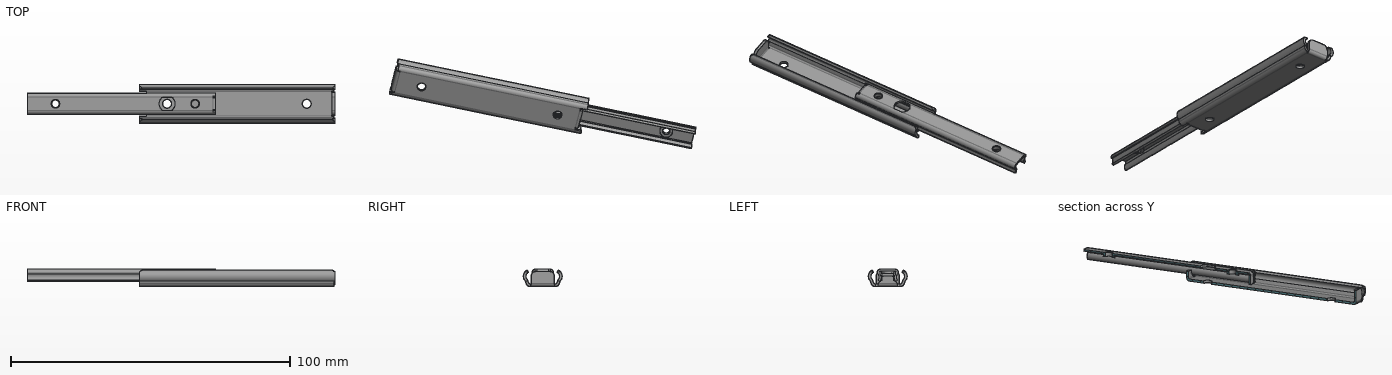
import cadquery as cq
import math


TOTAL_LENGTH = 110.1
TOTAL_HEIGHT = 6.4

OUTER_LENGTH = 70.0
OUTER_START = TOTAL_LENGTH - OUTER_LENGTH
OUTER_THICKNESS = 1.0
FLOOR_HALF_WIDTH = 4.4
FLANGE_BEND_RADIUS = 0.7
FLANGE_BEND_ANGLE = 73.0
RACE_CENTER_Y = 4.57
RACE_CENTER_Z = 3.7
RACE_OUTER_RADIUS = 2.4
RACE_START_ANGLE = -46.0
RACE_END_ANGLE = 55.0
LIP_LENGTH = 0.4
LIP_CHAMFER_LENGTH = 1.0
LIP_CHAMFER_HEIGHT = 0.7
FLOOR_HOLE_RADIUS = 1.5

TAB_BEND_RADIUS = 0.2
TAB_DEPTH = OUTER_THICKNESS + TAB_BEND_RADIUS
REAR_TAB_HALF_WIDTH = 4.2
REAR_TAB_TOP = 5.5
REAR_TAB_CORNER = 1.8
RELIEF_LENGTH = 0.4
RELIEF_HEIGHT = 2.1
FRONT_NOTCH_LENGTH = 2.5
FRONT_TAB_HALF_WIDTH = 2.1
FRONT_TAB_BASE_HALF_WIDTH = 3.5
FRONT_TAB_BASE_HEIGHT = 1.1
FRONT_TAB_TOP = 3.7
FRONT_TAB_CORNER = 0.4

INNER_LENGTH = 67.4
INNER_THICKNESS = 0.8
INNER_HALF_WIDTH = 3.9
SHOULDER_THICKNESS = 1.0
INNER_CORNER_RADIUS = 1.4
INNER_FLAT_HALF_WIDTH = INNER_HALF_WIDTH - INNER_CORNER_RADIUS
INNER_CAVITY_HALF_WIDTH = INNER_HALF_WIDTH - SHOULDER_THICKNESS
INNER_TOP_UNDERSIDE = TOTAL_HEIGHT - INNER_THICKNESS
SHOULDER_Z = 4.5
GROOVE_EDGE_Y = 3.4
GROOVE_Y = 3.14
GROOVE_Z = 3.6
FOOT_OUTER = (3.5, 2.3)
FOOT_INNER = (2.9, 1.9)
STOP_HALF_WIDTH = 2.1
STOP_BOTTOM = 2.0
STOP_RELIEF_HALF_WIDTH = 2.9
STOP_BEND_RADIUS = 0.1
TAP_RADIUS = 1.3
TAP_CHAMFER = 0.2
COLLAR_RADIUS = 2.3
COLLAR_BOTTOM = 4.7
ACCESS_RADIUS = 2.9

HOLE_PITCH = 50.0
FRONT_TAP_X = 10.0
REAR_TAP_X = FRONT_TAP_X + HOLE_PITCH
FRONT_FLOOR_HOLE_X = 50.0
REAR_FLOOR_HOLE_X = FRONT_FLOOR_HOLE_X + HOLE_PITCH


def box(x_min, x_max, y_min, y_max, z_min, z_max):
    size = (x_max - x_min, y_max - y_min, z_max - z_min)
    return cq.Workplane("XY").box(*size, centered=False).translate((x_min, y_min, z_min))


def vertical_cylinder(x, radius, bottom, top):
    return cq.Workplane("XY", origin=(x, 0, bottom)).circle(radius).extrude(top - bottom)


def polar(center_y, center_z, radius, degrees):
    angle = math.radians(degrees)
    return (center_y + radius * math.cos(angle), center_z + radius * math.sin(angle))


def with_mirror(half):
    return half.union(half.mirror("XZ"))


def outer_section():
    """Half of the outer rail's cross-section, from the mirror plane to the lip."""
    bend_outer = FLANGE_BEND_RADIUS + OUTER_THICKNESS
    race_inner = RACE_OUTER_RADIUS - OUTER_THICKNESS
    race_middle = (RACE_START_ANGLE + RACE_END_ANGLE) / 2

    def bend(radius, turn):
        return polar(FLOOR_HALF_WIDTH, bend_outer, radius, turn - 90)

    def race(radius, degrees):
        return polar(RACE_CENTER_Y, RACE_CENTER_Z, radius, degrees)

    def lip(radius):
        y, z = race(radius, RACE_END_ANGLE)
        return polar(y, z, LIP_LENGTH, RACE_END_ANGLE + 90)

    return (
        cq.Workplane("YZ", origin=(OUTER_START, 0, 0))
        .moveTo(0, 0)
        .lineTo(FLOOR_HALF_WIDTH, 0)
        .threePointArc(bend(bend_outer, FLANGE_BEND_ANGLE / 2), bend(bend_outer, FLANGE_BEND_ANGLE))
        .lineTo(*race(RACE_OUTER_RADIUS, RACE_START_ANGLE))
        .threePointArc(race(RACE_OUTER_RADIUS, race_middle), race(RACE_OUTER_RADIUS, RACE_END_ANGLE))
        .lineTo(*lip(RACE_OUTER_RADIUS))
        .lineTo(*lip(race_inner))
        .lineTo(*race(race_inner, RACE_END_ANGLE))
        .threePointArc(race(race_inner, race_middle), race(race_inner, RACE_START_ANGLE))
        .lineTo(*bend(FLANGE_BEND_RADIUS, FLANGE_BEND_ANGLE))
        .threePointArc(bend(FLANGE_BEND_RADIUS, FLANGE_BEND_ANGLE / 2), (FLOOR_HALF_WIDTH, OUTER_THICKNESS))
        .lineTo(0, OUTER_THICKNESS)
        .close()
    )


def lip_chamfer(end_x, inward, lip_top):
    """Wedge that takes the top corner off both flange lips at one end."""
    return (
        cq.Workplane("XZ", origin=(0, TOTAL_LENGTH / 2, 0))
        .moveTo(end_x, lip_top - LIP_CHAMFER_HEIGHT)
        .lineTo(end_x + inward * LIP_CHAMFER_LENGTH, lip_top)
        .lineTo(end_x, lip_top)
        .close()
        .extrude(TOTAL_LENGTH)
    )


def bent_tab(root_x, outward, face_z, turn, thickness, inside_radius, half_width, height):
    """Tab that continues a plate in X from root_x and bends by 90 degrees.

    outward (+1 or -1) is its X direction and turn (+1 or -1) the Z direction of the bend;
    face_z is the plate's face on the outside of the bend.
    """
    depth = thickness + inside_radius
    diagonal = math.sqrt(0.5)

    def place(along, rise):
        return (root_x + outward * along, face_z + turn * rise)

    return (
        cq.Workplane("XZ", origin=(0, half_width, 0))
        .moveTo(*place(0, 0))
        .threePointArc(place(depth * diagonal, depth * (1 - diagonal)), place(depth, depth))
        .lineTo(*place(depth, height))
        .lineTo(*place(inside_radius, height))
        .lineTo(*place(inside_radius, depth))
        .threePointArc(
            place(inside_radius * diagonal, depth - inside_radius * diagonal),
            place(0, thickness),
        )
        .close()
        .extrude(2 * half_width)
    )


def rear_tab(root_x):
    """Full-width end wall with rounded top corners."""
    tab = bent_tab(
        root_x, 1, 0, 1,
        OUTER_THICKNESS, TAB_BEND_RADIUS, REAR_TAB_HALF_WIDTH, REAR_TAB_TOP,
    )
    return tab.edges("|X and >Z").fillet(REAR_TAB_CORNER)


def front_tab(root_x):
    """Stop with a wide base, narrowed by 45-degree slopes to fit inside the inner rail."""
    base_half = FRONT_TAB_BASE_HALF_WIDTH
    top_half = FRONT_TAB_HALF_WIDTH
    neck_z = FRONT_TAB_BASE_HEIGHT + base_half - top_half
    outline = (
        cq.Workplane("YZ", origin=(root_x - TAB_DEPTH, 0, 0))
        .polyline([
            (-base_half, 0),
            (base_half, 0),
            (base_half, FRONT_TAB_BASE_HEIGHT),
            (top_half, neck_z),
            (top_half, FRONT_TAB_TOP),
            (-top_half, FRONT_TAB_TOP),
            (-top_half, neck_z),
            (-base_half, FRONT_TAB_BASE_HEIGHT),
        ])
        .close()
        .extrude(TAB_DEPTH)
        .edges("|X and >Z")
        .fillet(FRONT_TAB_CORNER)
    )
    tab = bent_tab(root_x, -1, 0, 1, OUTER_THICKNESS, TAB_BEND_RADIUS, base_half, FRONT_TAB_TOP)
    return tab.intersect(outline)


def make_outer_rail():
    rail = with_mirror(outer_section().extrude(OUTER_LENGTH))
    lip_top = rail.val().BoundingBox().zmax
    rail = rail.cut(lip_chamfer(OUTER_START, 1, lip_top)).cut(lip_chamfer(TOTAL_LENGTH, -1, lip_top))

    front_root = OUTER_START + FRONT_NOTCH_LENGTH
    rear_root = TOTAL_LENGTH - TAB_DEPTH
    half = FLOOR_HALF_WIDTH
    rail = rail.cut(box(OUTER_START, front_root, -half, half, 0, OUTER_THICKNESS))
    rail = rail.cut(box(rear_root, TOTAL_LENGTH, -half, half, 0, OUTER_THICKNESS))
    relief_start = TOTAL_LENGTH - RELIEF_LENGTH
    relief = box(relief_start, TOTAL_LENGTH, half, 2 * half, 0, RELIEF_HEIGHT)
    rail = rail.cut(relief).cut(relief.mirror("XZ"))

    rail = rail.union(front_tab(front_root)).union(rear_tab(rear_root))

    for x in (FRONT_FLOOR_HOLE_X, REAR_FLOOR_HOLE_X):
        rail = rail.cut(vertical_cylinder(x, FLOOR_HOLE_RADIUS, 0, OUTER_THICKNESS))
    return rail


def inner_section():
    """Half of the inner rail's cross-section: flat top, rounded shoulder, ball groove, flared foot."""
    corner_z = TOTAL_HEIGHT - INNER_CORNER_RADIUS
    corner_middle = polar(INNER_FLAT_HALF_WIDTH, corner_z, INNER_CORNER_RADIUS, 45)
    return (
        cq.Workplane("YZ")
        .moveTo(0, TOTAL_HEIGHT)
        .lineTo(INNER_FLAT_HALF_WIDTH, TOTAL_HEIGHT)
        .threePointArc(corner_middle, (INNER_HALF_WIDTH, corner_z))
        .lineTo(INNER_HALF_WIDTH, SHOULDER_Z)
        .lineTo(GROOVE_EDGE_Y, SHOULDER_Z)
        .threePointArc((GROOVE_Y, GROOVE_Z), FOOT_OUTER)
        .lineTo(*FOOT_INNER)
        .threePointArc((GROOVE_Y - INNER_THICKNESS, GROOVE_Z), (INNER_CAVITY_HALF_WIDTH, SHOULDER_Z))
        .lineTo(INNER_CAVITY_HALF_WIDTH, INNER_TOP_UNDERSIDE)
        .lineTo(0, INNER_TOP_UNDERSIDE)
        .close()
    )


def tapped_hole(x):
    """Hole through the top and collar of the inner rail, with a chamfered mouth."""
    hole = vertical_cylinder(x, TAP_RADIUS, COLLAR_BOTTOM, TOTAL_HEIGHT)
    mouth = cq.Solid.makeCone(
        TAP_RADIUS,
        TAP_RADIUS + TAP_CHAMFER,
        TAP_CHAMFER,
        pnt=cq.Vector(x, 0, TOTAL_HEIGHT - TAP_CHAMFER),
    )
    return hole.union(cq.Workplane(mouth))


def access_opening():
    """Round opening with two flats, above the front floor hole."""
    r = ACCESS_RADIUS
    x = FRONT_FLOOR_HOLE_X
    disc = vertical_cylinder(x, r, INNER_TOP_UNDERSIDE, TOTAL_HEIGHT)
    flats = box(x - r, x + r, -INNER_FLAT_HALF_WIDTH, INNER_FLAT_HALF_WIDTH, 0, TOTAL_HEIGHT)
    return disc.intersect(flats)


def make_inner_rail():
    rail = with_mirror(inner_section().extrude(INNER_LENGTH))

    stop_root = INNER_LENGTH - INNER_THICKNESS - STOP_BEND_RADIUS
    rail = rail.cut(
        box(
            stop_root, INNER_LENGTH,
            -STOP_RELIEF_HALF_WIDTH, STOP_RELIEF_HALF_WIDTH,
            INNER_TOP_UNDERSIDE, TOTAL_HEIGHT,
        )
    )
    stop_height = TOTAL_HEIGHT - STOP_BOTTOM
    rail = rail.union(
        bent_tab(
            stop_root, 1, TOTAL_HEIGHT, -1,
            INNER_THICKNESS, STOP_BEND_RADIUS, STOP_HALF_WIDTH, stop_height,
        )
    )

    for x in (FRONT_TAP_X, REAR_TAP_X):
        collar = vertical_cylinder(x, COLLAR_RADIUS, COLLAR_BOTTOM, INNER_TOP_UNDERSIDE)
        rail = rail.union(collar).cut(tapped_hole(x))
    return rail.cut(access_opening())


outer_rail = make_outer_rail()
inner_rail = make_inner_rail()

result = cq.Compound.makeCompound([outer_rail.val(), inner_rail.val()])